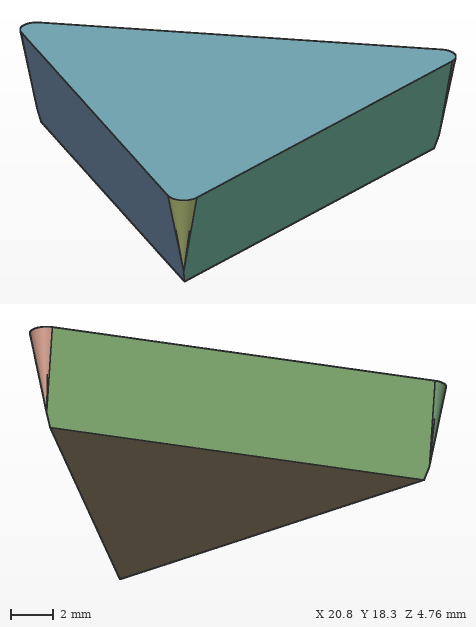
import cadquery as cq
import math

INSCRIBED_DIAMETER = 12.7
THICKNESS = 4.76
NOSE_RADIUS = 0.8
CLEARANCE_ANGLE = 11.0

CORNER_DISTANCE = INSCRIBED_DIAMETER
CORNER_ANGLES = (90, 210, 330)


def corner_point(angle):
    """Sharp corner of the top face in the given direction from the centre."""
    direction = math.radians(angle)
    return (CORNER_DISTANCE * math.cos(direction), CORNER_DISTANCE * math.sin(direction))


def top_outline():
    """Equilateral triangle with rounded corners; one side is parallel to X."""
    corners = [corner_point(angle) for angle in CORNER_ANGLES]
    closed_loop = corners + corners[:1]
    return cq.Sketch().polygon(closed_loop).vertices().fillet(NOSE_RADIUS)


def insert_body():
    """Top outline drawn down to the bottom face, with all flanks leaning inward.

    The corners become cones that shrink to a point just above the bottom face.
    Below those points neighbouring flanks meet in sharp edges.
    """
    return (
        cq.Workplane("XY", origin=(0, 0, THICKNESS))
        .placeSketch(top_outline())
        .extrude(-THICKNESS, taper=CLEARANCE_ANGLE)
    )


result = insert_body()